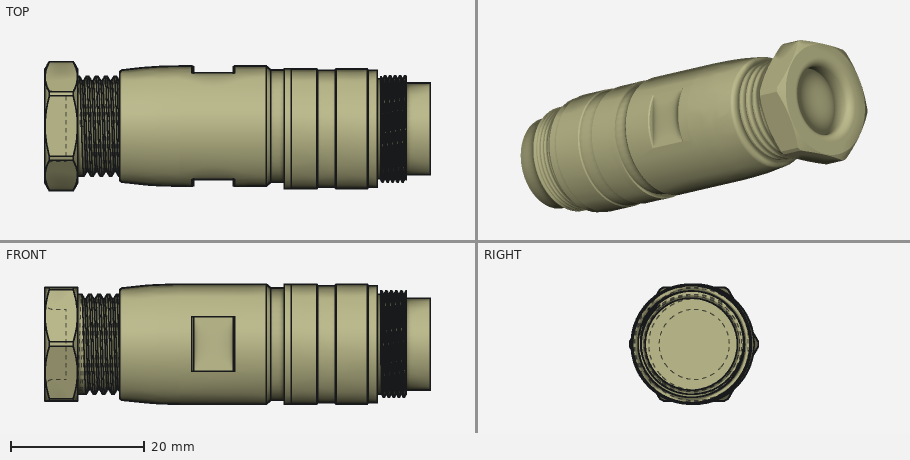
import cadquery as cq
import math


nut_end = 4.95
body_start = 11.2
taper_start = 11.8
taper_end = 20.25
barrel_end = 33.2
neck_start = 33.85
sleeve_start = 35.9
coupling_start = 49.9
coupling_crest_start = 50.4
coupling_end = 54.15
total_length = 57.8

nut_across_flats = 17.05
nut_corner_diameter = 19.3
nut_face_diameter = 16.9
nut_chamfer_length = 0.7
bore_diameter = 10.5
bore_depth = 3.2
bore_rim_radius = 1.15

stud_diameter = 15.0
stud_thread_pitch = 1.4
stud_thread_depth = 0.7
stud_groove_root_width = 0.3
stud_groove_mouth_width = 1.1
stud_groove_start = 5.4
stud_groove_end = 12.15

body_diameter = 18.05
neck_diameter = 16.9
taper_start_radius = 8.45
body_edge_radius = taper_start - body_start

flat_start = 22.3
flat_end = 28.25
flat_distance = 8.05
flat_rim_length = 0.25
flat_rim_depth = 0.1

coupling_offset_y = -0.4
collar_diameter = 18.05
collar_length = 1.05
ring_diameter = 18.0
sleeve_groove_diameter = 17.6
step_length = 0.2
first_ring_end = 40.75
second_ring_start = 43.7
second_ring_end = 48.3
coupling_root_diameter = 15.0
coupling_thread_diameter = 15.95
coupling_thread_pitch = 0.75
coupling_groove_root_width = 0.2
coupling_groove_mouth_width = 0.65
coupling_groove_start = 49.7
coupling_groove_end = 54.6
tip_diameter = 13.8

groove_overshoot = 0.1


def cylinder_x(start, end, diameter):
    """Solid cylinder along the X axis."""
    return cq.Workplane("YZ", origin=(start, 0, 0)).circle(diameter / 2).extrude(end - start)


def revolve_x(profile):
    """Turn a closed profile of (x, radius) points about the X axis."""
    return profile.close().revolve(360, (0, 0, 0), (1, 0, 0))


def threaded_rod(
    start, end, crest_diameter, pitch, depth, root_width, mouth_width, groove_start, groove_end
):
    """Rod with a right-hand trapezoidal helical groove that starts pointing to -Z."""
    crest_radius = crest_diameter / 2
    root_radius = crest_radius - depth
    flank_slope = (mouth_width - root_width) / 2 / depth
    outer_radius = crest_radius + groove_overshoot
    outer_half_width = mouth_width / 2 + flank_slope * groove_overshoot
    helix = cq.Wire.makeHelix(pitch, groove_end - groove_start, root_radius)
    cutter = (
        cq.Workplane("XZ")
        .moveTo(root_radius, -root_width / 2)
        .lineTo(outer_radius, -outer_half_width)
        .lineTo(outer_radius, outer_half_width)
        .lineTo(root_radius, root_width / 2)
        .close()
        .sweep(cq.Workplane(obj=helix), isFrenet=True)
        .rotate((0, 0, 0), (0, 1, 0), 90)
        .translate((groove_start, 0, 0))
    )
    blank = cylinder_x(groove_start - pitch, groove_end + pitch, crest_diameter)
    trim = cylinder_x(start, end, crest_diameter + pitch)
    return blank.cut(cutter).intersect(trim)


def make_nut():
    """Hexagon nut with corners to +Y and -Y, turned down at the corners and both ends."""
    across_corners = nut_across_flats / math.cos(math.pi / 6)
    hexagon = cq.Workplane("YZ").polygon(6, across_corners).extrude(nut_end)
    corner_radius = nut_corner_diameter / 2
    face_radius = nut_face_diameter / 2
    envelope = revolve_x(
        cq.Workplane("XY")
        .moveTo(0, 0)
        .lineTo(0, face_radius)
        .lineTo(nut_chamfer_length, corner_radius)
        .lineTo(nut_end - nut_chamfer_length, corner_radius)
        .lineTo(nut_end, face_radius)
        .lineTo(nut_end, 0)
    )
    return hexagon.intersect(envelope)


def make_bore():
    """Blind cable entry with a rounded rim."""
    radius = bore_diameter / 2
    arc_offset = bore_rim_radius * (1 - math.sqrt(0.5))
    return revolve_x(
        cq.Workplane("XY")
        .moveTo(0, 0)
        .lineTo(0, radius + bore_rim_radius)
        .threePointArc((arc_offset, radius + arc_offset), (bore_rim_radius, radius))
        .lineTo(bore_depth, radius)
        .lineTo(bore_depth, 0)
    )


def make_stud():
    return threaded_rod(
        nut_end,
        taper_start,
        stud_diameter,
        stud_thread_pitch,
        stud_thread_depth,
        stud_groove_root_width,
        stud_groove_mouth_width,
        stud_groove_start,
        stud_groove_end,
    )


def make_body():
    """Barrel with a rounded, bulging taper at the stud end and a neck at the sleeve end."""
    radius = body_diameter / 2
    neck_radius = neck_diameter / 2
    edge_centre_radius = taper_start_radius - body_edge_radius
    edge_diagonal = body_edge_radius * math.sqrt(0.5)
    edge_middle = (taper_start - edge_diagonal, edge_centre_radius + edge_diagonal)
    taper_rise = radius - taper_start_radius
    taper_length = taper_end - taper_start
    taper_radius = (taper_length**2 + taper_rise**2) / (2 * taper_rise)
    half_angle = math.asin(taper_length / taper_radius) / 2
    taper_middle = (
        taper_end - taper_radius * math.sin(half_angle),
        radius - taper_radius * (1 - math.cos(half_angle)),
    )
    return revolve_x(
        cq.Workplane("XY")
        .moveTo(body_start, 0)
        .lineTo(body_start, edge_centre_radius)
        .threePointArc(edge_middle, (taper_start, taper_start_radius))
        .threePointArc(taper_middle, (taper_end, radius))
        .lineTo(barrel_end, radius)
        .lineTo(neck_start, neck_radius)
        .lineTo(sleeve_start, neck_radius)
        .lineTo(sleeve_start, 0)
    )


def make_flat_rims():
    """Cutter bevelling the body surface at both ends of the wrench flats."""
    radius = body_diameter / 2
    half_width = math.sqrt(radius**2 - flat_distance**2)
    limits = cq.Workplane("XY").box(2 * total_length, 2 * body_diameter, 2 * half_width)
    rims = cq.Workplane("XY")
    for end, outward in ((flat_start, -1), (flat_end, 1)):
        ring = revolve_x(
            cq.Workplane("XY")
            .moveTo(end, radius - flat_rim_depth)
            .lineTo(end + outward * 2 * flat_rim_length, radius + flat_rim_depth)
            .lineTo(end, radius + flat_rim_depth)
        )
        rims = rims.add(ring.intersect(limits))
    return rims.combine()


def make_wrench_flats():
    """Cutter for the two opposite wrench flats."""
    length = flat_end - flat_start
    blocks = cq.Workplane("XY")
    for side in (1, -1):
        block = cq.Workplane("XY").box(length, body_diameter, body_diameter)
        offset_y = side * (flat_distance + body_diameter / 2)
        blocks = blocks.add(block.translate((flat_start + length / 2, offset_y, 0)))
    return blocks.combine()


def make_sleeve():
    """Coupling sleeve with a collar, two raised rings and reduced lands."""
    collar_end = sleeve_start + collar_length
    ring_radius = ring_diameter / 2
    collar_radius = collar_diameter / 2
    land_radius = sleeve_groove_diameter / 2
    return revolve_x(
        cq.Workplane("XY")
        .moveTo(sleeve_start, 0)
        .lineTo(sleeve_start, collar_radius)
        .lineTo(collar_end, collar_radius)
        .lineTo(collar_end, ring_radius)
        .lineTo(first_ring_end, ring_radius)
        .lineTo(first_ring_end + step_length, land_radius)
        .lineTo(second_ring_start - step_length, land_radius)
        .lineTo(second_ring_start, ring_radius)
        .lineTo(second_ring_end, ring_radius)
        .lineTo(second_ring_end + step_length, land_radius)
        .lineTo(coupling_start, land_radius)
        .lineTo(coupling_start, 0)
    )


def make_coupling():
    """Sleeve, threaded end and plug tip on their shared, shifted axis."""
    thread = threaded_rod(
        coupling_crest_start,
        coupling_end,
        coupling_thread_diameter,
        coupling_thread_pitch,
        (coupling_thread_diameter - coupling_root_diameter) / 2,
        coupling_groove_root_width,
        coupling_groove_mouth_width,
        coupling_groove_start,
        coupling_groove_end,
    )
    relief = cylinder_x(coupling_start, coupling_crest_start, coupling_root_diameter)
    tip = cylinder_x(coupling_end, total_length, tip_diameter)
    coupling = make_sleeve().union(relief).union(thread).union(tip)
    return coupling.translate((0, coupling_offset_y, 0))


body = make_body().cut(make_wrench_flats()).cut(make_flat_rims())
result = make_nut().union(make_stud()).union(body).union(make_coupling()).cut(make_bore())